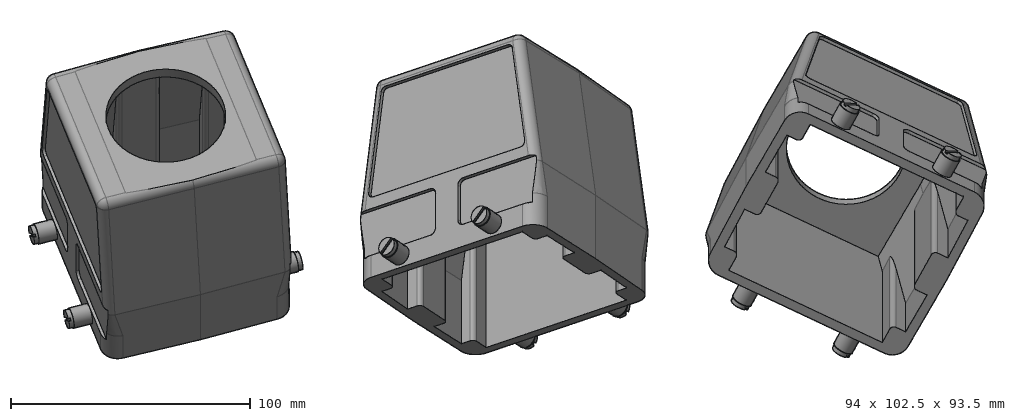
import cadquery as cq
import math

HALF_WIDTH = 47.0
HALF_DEPTH = 41.25
HEIGHT = 93.5
SHOULDER_Z = 30.0
LEAN_ANGLE = 8.0
SEAM_ANGLE = 1.0
ROOF_ANGLE = 0.85
FLAT_HALF_DEPTH = 28.75
EDGE_RADIUS = 4.0
FOOT_RADIUS = 7.5
FOOT_STRAIGHT_Z = 15.0

WALL = 4.0
CEILING_Z = 88.25
HOLE_DIAMETER = 50.0
THICK_WALL_X = 36.0
RECESS_NEAR_Y = 9.5
RECESS_FAR_Y = 28.5
RECESS_LIP_RADIUS = 2.0

POCKET_DEPTH = 1.3
POCKET_DRAFT_ANGLE = 15.0
PANEL_BOTTOM_Z = 38.15
PANEL_TOP_Z = 87.9
PANEL_MARGIN = 5.8
PANEL_CORNER_RADIUS = 2.0
GRIP_BOTTOM_Z = 10.8
GRIP_TOP_Z = 32.15
GRIP_INNER_X = 6.1
GRIP_CORNER_RADIUS = 2.5

PIN_X = 23.75
PIN_Z = 5.75
PIN_DIAMETER = 8.8
PIN_REACH = 51.25
TIP_DIAMETER = 8.0
TIP_LENGTH = 2.0
SLOT_WIDTH = 1.2
SLOT_DEPTH = 0.9
SLOT_ANGLE = 45.0

LEAN = math.tan(math.radians(LEAN_ANGLE))
RIDGE_Z = HEIGHT + FLAT_HALF_DEPTH * math.tan(math.radians(ROOF_ANGLE))
EAVES_Z = RIDGE_Z - HALF_DEPTH * math.tan(math.radians(ROOF_ANGLE))
CORNER_SETBACK = HALF_DEPTH * math.tan(math.radians(SEAM_ANGLE))


def side_x(z):
    """Half width at the seam at height z."""
    return HALF_WIDTH - max(0.0, z - SHOULDER_Z) * LEAN


def foot_block(height, inset=0.0):
    """Upright block on the foot plan, with its walls moved inwards by the inset."""
    seam_x = HALF_WIDTH - inset
    corner_x = seam_x - CORNER_SETBACK
    half_depth = HALF_DEPTH - inset
    plan = [
        (seam_x, 0),
        (corner_x, half_depth),
        (-corner_x, half_depth),
        (-seam_x, 0),
        (-corner_x, -half_depth),
        (corner_x, -half_depth),
    ]
    return cq.Workplane("XY").polyline(plan).close().extrude(height)


def leaning_block(top_z, inset=0.0):
    """Block above the shoulder: the overlap of two copies of the foot plan pushed up along each lean."""
    rise = top_z - SHOULDER_Z
    plan = foot_block(SHOULDER_Z, inset).faces(">Z").wires().val()
    to_left = cq.Solid.extrudeLinear(plan, [], cq.Vector(-rise * LEAN, 0, rise))
    to_right = cq.Solid.extrudeLinear(plan, [], cq.Vector(rise * LEAN, 0, rise))
    return cq.Workplane(to_left).intersect(cq.Workplane(to_right))


def is_outer_edge(edge):
    """True for the leaning corners and roof edges, false for the shoulder and the mid-plane seams."""
    middle = edge.Center()
    return middle.z > SHOULDER_Z + EDGE_RADIUS and middle.y > EDGE_RADIUS


def upper_body():
    """Leaning part: one rounded half under its sloping roof, cut flat on top and mirrored."""
    roof_slope = [(0, 0), (HALF_DEPTH, 0), (HALF_DEPTH, EAVES_Z), (0, RIDGE_Z)]
    under_roof = cq.Workplane("YZ").polyline(roof_slope).close().extrude(HALF_WIDTH, both=True)
    half = leaning_block(RIDGE_Z).intersect(under_roof)
    half = half.edges().filter(is_outer_edge).fillet(EDGE_RADIUS)
    below_top = cq.Workplane("XY").rect(2 * HALF_WIDTH, 2 * HALF_DEPTH).extrude(HEIGHT)
    half = half.intersect(below_top)
    return half.union(half.mirror("XZ"))


def lower_body(shoulder_wire):
    """Upright foot whose corners tighten towards the shoulder."""
    foot = foot_block(FOOT_STRAIGHT_Z)
    foot = foot.edges("|Z").edges(">Y or <Y").fillet(FOOT_RADIUS)
    foot_top = foot.faces(">Z").wires().val()
    blend = cq.Solid.makeLoft([foot_top, shoulder_wire], True)
    return foot.union(cq.Workplane(blend))


def is_lip(edge):
    """True for the upright edges where a recess meets the thick X wall."""
    middle = edge.Center()
    on_wall = math.isclose(abs(middle.x), THICK_WALL_X)
    return on_wall and abs(middle.y) < HALF_DEPTH - WALL


def cavity():
    """Inside space: the shell offset, with thick X walls broken by recesses."""
    inner = foot_block(SHOULDER_Z, WALL).union(leaning_block(CEILING_Z, WALL))
    core = cq.Workplane("XY").rect(2 * THICK_WALL_X, 2 * HALF_DEPTH).extrude(HEIGHT)
    recess_y = (RECESS_NEAR_Y + RECESS_FAR_Y) / 2
    recess_width = RECESS_FAR_Y - RECESS_NEAR_Y
    for y in (-recess_y, recess_y):
        recess = cq.Workplane("XY").center(0, y).rect(2 * HALF_WIDTH, recess_width)
        core = core.union(recess.extrude(HEIGHT))
    lips = core.edges("|Z").filter(is_lip)
    return inner.intersect(lips.fillet(RECESS_LIP_RADIUS))


def pocket(floor_points, corner_radius):
    """Pocket cutter that widens from its floor to the -Y face."""
    floor = cq.Sketch().polygon([*floor_points, floor_points[0]]).vertices().fillet(corner_radius)
    floor_plane = cq.Workplane("XZ", origin=(0, POCKET_DEPTH - HALF_DEPTH, 0))
    return floor_plane.placeSketch(floor).extrude(POCKET_DEPTH, taper=-POCKET_DRAFT_ANGLE)


def face_pockets():
    """Panel and two grip pockets of the -Y face."""
    top_x = side_x(PANEL_TOP_Z) - PANEL_MARGIN
    bottom_x = side_x(PANEL_BOTTOM_Z) - PANEL_MARGIN
    cutters = pocket(
        [
            (-bottom_x, PANEL_BOTTOM_Z),
            (bottom_x, PANEL_BOTTOM_Z),
            (top_x, PANEL_TOP_Z),
            (-top_x, PANEL_TOP_Z),
        ],
        PANEL_CORNER_RADIUS,
    )
    outer_x = HALF_WIDTH + 2 * GRIP_CORNER_RADIUS
    for side in (-1, 1):
        grip = [
            (side * GRIP_INNER_X, GRIP_BOTTOM_Z),
            (side * outer_x, GRIP_BOTTOM_Z),
            (side * outer_x, GRIP_TOP_Z),
            (side * GRIP_INNER_X, GRIP_TOP_Z),
        ]
        cutters = cutters.union(pocket(grip, GRIP_CORNER_RADIUS))
    return cutters


def pin(x):
    """Slotted locking pin that stands out of the -Y wall."""
    root_y = HALF_DEPTH - WALL / 2
    shank = cq.Workplane("XZ", origin=(x, -root_y, PIN_Z)).circle(PIN_DIAMETER / 2)
    shank = shank.extrude(PIN_REACH - TIP_LENGTH - root_y)
    tip = shank.faces("<Y").workplane().circle(TIP_DIAMETER / 2).extrude(TIP_LENGTH)
    slot = (
        cq.Workplane("XZ", origin=(x, -PIN_REACH, PIN_Z))
        .transformed(rotate=(0, 0, SLOT_ANGLE))
        .rect(2 * PIN_DIAMETER, SLOT_WIDTH)
        .extrude(-SLOT_DEPTH)
    )
    return tip.cut(slot)


def turned(part):
    """The same part on the opposite Y side."""
    return part.rotate((0, 0, 0), (0, 0, 1), 180)


upper = upper_body()
result = upper.union(lower_body(upper.faces("<Z").wires().val()))
result = result.cut(cavity())
result = result.cut(cq.Workplane("XY").circle(HOLE_DIAMETER / 2).extrude(HEIGHT + 1))
pockets = face_pockets()
result = result.cut(pockets).cut(turned(pockets))
for pin_x in (-PIN_X, PIN_X):
    new_pin = pin(pin_x)
    result = result.union(new_pin).union(turned(new_pin))